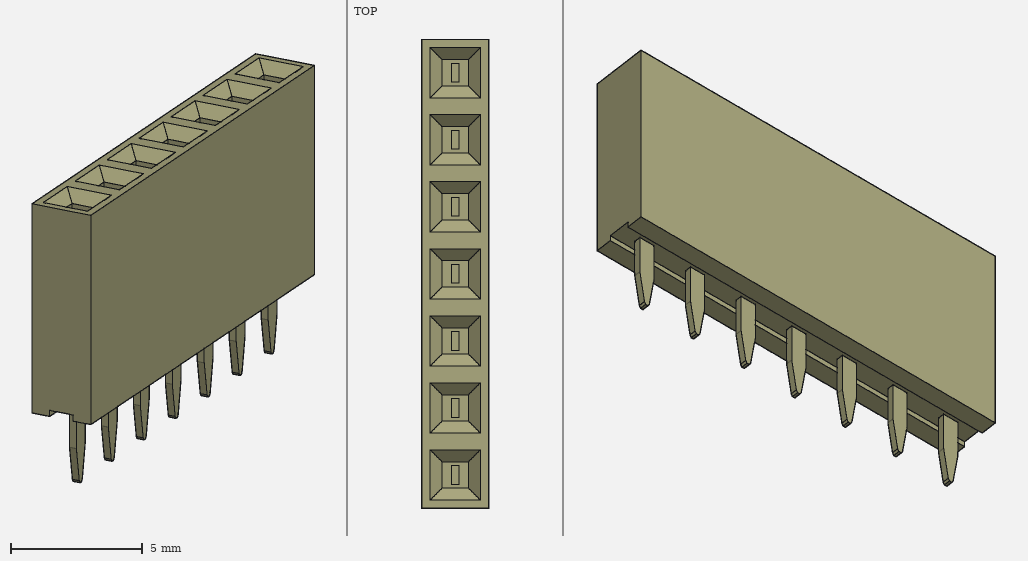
import cadquery as cq

contact_count = 7
row_length = 17.78
pitch = row_length / contact_count
contact_positions = [(index - (contact_count - 1) / 2) * pitch for index in range(contact_count)]

housing_width = pitch
housing_height = 8.52
channel_width = 1.01
channel_depth = 0.25

socket_mouth = 1.9
well_width = 1.0
lead_in_depth = (socket_mouth - well_width) / 2
well_floor_height = 3.2

pin_thickness = 0.3
pin_width = 0.71
pin_tail_length = 2.99
taper_length = 1.5
tip_bevel_height = 0.1
tip_shoulder_width = 0.25
tip_end_width = 0.12


def make_lead_in(y):
    """Pyramid frustum that widens from the well to the mouth on the top face."""
    return (
        cq.Workplane("XY", origin=(0, y, housing_height - lead_in_depth))
        .rect(well_width, well_width)
        .workplane(offset=lead_in_depth)
        .rect(socket_mouth, socket_mouth)
        .loft(ruled=True)
    )


def make_well(y):
    """Straight square hole from the top face down to the well floor."""
    return (
        cq.Workplane("XY", origin=(0, y, well_floor_height))
        .rect(well_width, well_width)
        .extrude(housing_height - well_floor_height)
    )


def make_pin_slot(y):
    """Slot through the housing floor that holds one pin."""
    return cq.Workplane("XY", origin=(0, y, 0)).rect(pin_thickness, pin_width).extrude(well_floor_height)


def make_housing():
    """Block with a channel along its underside and one socket per contact."""
    block = cq.Workplane("XY").rect(housing_width, row_length).extrude(housing_height)
    channel = cq.Workplane("XY").rect(channel_width, row_length).extrude(channel_depth)
    housing = block.cut(channel)
    for y in contact_positions:
        housing = housing.cut(make_lead_in(y)).cut(make_well(y)).cut(make_pin_slot(y))
    return housing


def make_pin(y):
    """Flat pin, its top flush with the well floor and its tail below the housing."""
    tail_end = -pin_tail_length
    right_side = [
        (pin_width / 2, well_floor_height),
        (pin_width / 2, tail_end + taper_length),
        (tip_shoulder_width / 2, tail_end + tip_bevel_height),
        (tip_end_width / 2, tail_end),
    ]
    left_side = [(-side, height) for side, height in reversed(right_side)]
    return (
        cq.Workplane("YZ", origin=(0, y, 0))
        .polyline(right_side + left_side)
        .close()
        .extrude(pin_thickness / 2, both=True)
    )


housing = make_housing()
pins = [make_pin(y) for y in contact_positions]

result = cq.Compound.makeCompound([housing.val(), *[pin.val() for pin in pins]])